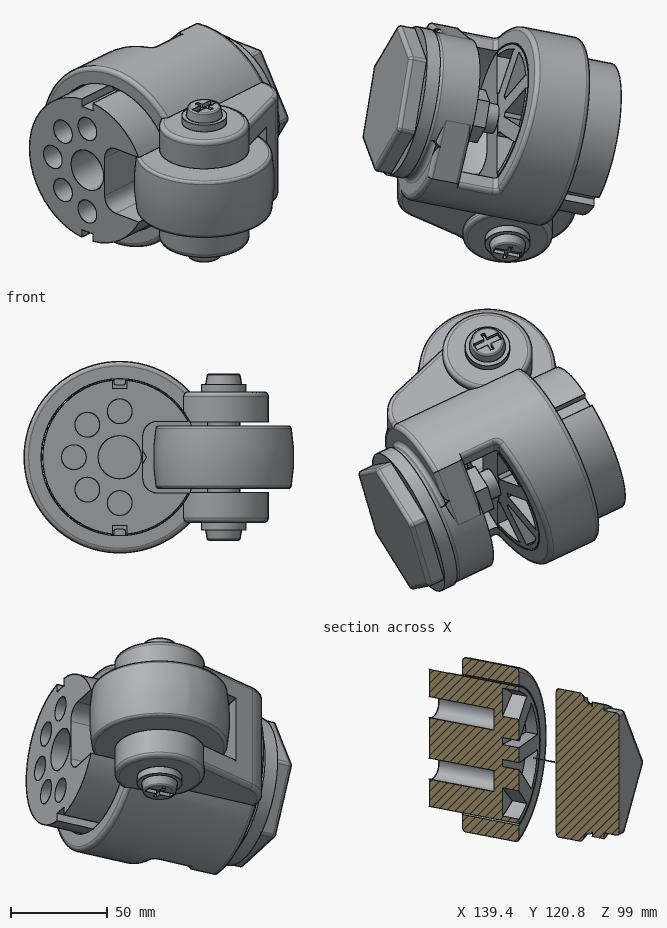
import cadquery as cq
import math


barrel_radius = 49.5
barrel_bottom = -10.5
barrel_top = 63.1
bore_radius = 40.5
bore_ceiling = 46.3
edge_round = 2.4

window_back = -3.9
window_low_outer = 19.2
window_low_inner = 25.4
window_corner_round = 2.4
lip_round = 1.5

collar_radius = 38.3
collar_top = 68.2
collar_edge_round = 2.0
collar_foot_round = 2.5
collar_foot_end = -17.3
flange_radius = 39.2
flange_top = 75.4
nut_across_flats = 66.9
nut_top = 84.6
nut_round = 2.1

axle_x = 53.7
fork_outer = 29.7
fork_gap = 36.2
fork_bay_top = 40.5
fork_arc_radius = 16.5
fork_arc_start = 41.4
fork_lean = math.radians(18.3)
boss_radius = 23.1
boss_top = 33.7

wheel_radius = 36.2
wheel_edge_radius = 34.7
wheel_width = 32.3
wheel_edge_round = 1.7
axle_radius = 8.4
washer_radius = 11.6
washer_top = 37.6
head_radius = 9.3
head_crown_radius = 8.4
head_top = 43.0
head_round = 1.0
recess_depth = 2.1
recess_long_arm = (3.9, 14.2)
recess_short_arm = (10.5, 1.8)

foot_radius = 39.9
foot_bottom = -30.4
foot_top = window_low_inner
foot_bay_left = 11.8
foot_bay_width = 37.1
foot_bay_round = 7.7
foot_centre_hole_radius = 11.2
foot_hole_radius = 6.4
foot_hole_circle = 23.7
foot_hole_depth = 39.0
keyway_width = 7.7
keyway_floor = 35.4
keyway_top = 18.1
key_width = 6.1
key_tip = 37.2
key_bottom = -7.0
key_round = 1.4
key_embed = 1.4
spoke_count = 8
spoke_width = 8.4
pocket_floor = 14.0
pocket_inner_radius = 14.0
pocket_outer_radius = 37.4

screw_radius = 7.7
screw_hex_across_flats = 24.0
screw_hex_low = 32.6
screw_hex_high = 45.3
screw_collar_radius = 9.6


def along_y(outline, low, high):
    """Extrude an outline drawn in X and Z from height low to height high."""
    return outline.extrude(low - high).translate((0, low, 0))


def section():
    return cq.Workplane("XZ")


def disc(radius, low, high):
    return along_y(section().circle(radius), low, high)


def hexagon(across_flats, low, high):
    corner_diameter = across_flats / math.cos(math.pi / 6)
    return along_y(section().polygon(6, corner_diameter), low, high)


def mirrored_in_z(shape):
    return shape.union(shape.mirror("XY"))


def make_upper_block():
    """Collar-sized wall widening along 45 degree flats to the full barrel."""
    touch = collar_radius * math.sqrt(0.5)
    half_chord = math.sqrt(barrel_radius**2 - collar_radius**2)
    wing_x = -touch + half_chord * math.sqrt(0.5)
    wing_z = touch + half_chord * math.sqrt(0.5)
    outline = (
        section()
        .moveTo(-touch, touch)
        .lineTo(wing_x, wing_z)
        .threePointArc((barrel_radius, 0), (wing_x, -wing_z))
        .lineTo(-touch, -touch)
        .threePointArc((-collar_radius, 0), (-touch, touch))
        .close()
    )
    return along_y(outline, bore_ceiling, barrel_top)


def make_fork_plates():
    arc_centre_y = barrel_top - fork_arc_radius
    arc_mid_angle = (math.pi / 2 + fork_lean) / 2

    def on_arc(angle):
        return (
            fork_arc_start + fork_arc_radius * math.cos(angle),
            arc_centre_y + fork_arc_radius * math.sin(angle),
        )

    lean_start = on_arc(fork_lean)
    lean_end = (lean_start[0] + lean_start[1] * math.tan(fork_lean), 0)
    return (
        cq.Workplane("XY", origin=(0, 0, -fork_outer))
        .moveTo(0, 0)
        .lineTo(0, barrel_top)
        .lineTo(fork_arc_start, barrel_top)
        .threePointArc(on_arc(arc_mid_angle), lean_start)
        .lineTo(*lean_end)
        .close()
        .extrude(2 * fork_outer)
    )


def make_bosses():
    return (
        cq.Workplane("XY", origin=(axle_x, 0, -boss_top))
        .circle(boss_radius)
        .extrude(2 * boss_top)
        .faces("|Z")
        .edges()
        .fillet(edge_round)
    )


def make_window():
    """Space above a sloping sill, open toward -X."""
    slope = (window_low_inner - window_low_outer) / (window_back + barrel_radius)
    far_left = -2 * barrel_radius
    far_low = window_low_outer + slope * (far_left + barrel_radius)
    return (
        cq.Workplane("XY", origin=(0, 0, -2 * barrel_radius))
        .moveTo(far_left, far_low)
        .lineTo(window_back, window_low_inner)
        .lineTo(window_back, barrel_top)
        .lineTo(far_left, barrel_top)
        .close()
        .extrude(4 * barrel_radius)
        .edges("|Z and >X")
        .edges("<Y")
        .fillet(window_corner_round)
    )


def left_edges(low, high, right):
    """Selector for edges centred between two heights and on the -X side of right."""
    reach = 2 * barrel_radius
    return cq.selectors.BoxSelector((-reach, low, -reach), (right, high, reach))


def make_barrel():
    """Lower barrel with the window cut in, and the upper wall that bridges over the window."""
    lower = disc(barrel_radius, barrel_bottom, bore_ceiling).faces("<Y").edges().fillet(edge_round)
    lower = lower.cut(make_window())
    window_rim = left_edges(barrel_bottom / 2, bore_ceiling - edge_round, 0)
    lower = lower.edges(window_rim).edges("not |Z").fillet(edge_round)
    upper = make_upper_block().faces(">Y").edges().fillet(edge_round)
    wall_lip = left_edges(bore_ceiling - lip_round, bore_ceiling + lip_round, 2 * window_back)
    return lower.union(upper).edges(wall_lip).edges("#Y").fillet(lip_round)


def make_housing():
    plates = make_fork_plates().faces("|Z").edges().fillet(edge_round)
    housing = plates.union(make_bosses()).union(make_barrel())
    bore = disc(bore_radius, barrel_bottom - boss_radius, bore_ceiling)
    bay_length = 2 * wheel_radius + axle_x
    bay = cq.Workplane("XY").box(bay_length, bay_length, fork_gap, centered=(False, False, True))
    bay = bay.translate((0, fork_bay_top - bay_length, 0))
    return housing.cut(bore).cut(bay)


def make_collar_foot():
    """Concave fillet between the barrel top and the collar, clear of the 45 degree flats."""
    inner = collar_radius - collar_foot_round
    outer = collar_radius + collar_foot_round
    base = barrel_top - collar_foot_round
    top = barrel_top + collar_foot_round
    bend = collar_foot_round * (1 - math.sqrt(0.5))
    ring = (
        cq.Workplane("XY")
        .moveTo(inner, base)
        .lineTo(inner, top)
        .lineTo(collar_radius, top)
        .threePointArc((collar_radius + bend, barrel_top + bend), (outer, barrel_top))
        .lineTo(outer, base)
        .close()
        .revolve(360, (0, 0, 0), (0, 1, 0))
    )
    reach = 4 * barrel_radius
    keep = cq.Workplane("XY").box(reach, reach, reach, centered=(False, True, True))
    return ring.intersect(keep.translate((collar_foot_end, 0, 0)))


def make_cap():
    collar = disc(collar_radius, bore_ceiling, collar_top)
    collar = collar.faces(">Y").edges().fillet(collar_edge_round)
    flange = disc(flange_radius, collar_top, flange_top)
    nut = hexagon(nut_across_flats, flange_top, nut_top)
    nut = nut.edges("|Y").fillet(nut_round).faces(">Y").edges().fillet(nut_round)
    return collar.union(make_collar_foot()).union(flange).union(nut)


def make_wheel():
    half_width = wheel_width / 2
    tread = (
        cq.Workplane("XZ")
        .moveTo(0, -half_width)
        .lineTo(wheel_edge_radius, -half_width)
        .threePointArc((wheel_radius, 0), (wheel_edge_radius, half_width))
        .lineTo(0, half_width)
        .close()
        .revolve(360, (0, 0, 0), (0, 1, 0))
        .faces("|Z")
        .edges()
        .fillet(wheel_edge_round)
    )
    return tread.translate((axle_x, 0, 0))


def make_axle():
    """Axle with a washer and a cross-recessed screw head at each end."""
    upright = cq.Workplane("XY", origin=(axle_x, 0, 0))
    axle = upright.circle(axle_radius).extrude(boss_top)
    washer = upright.workplane(offset=boss_top).circle(washer_radius).extrude(washer_top - boss_top)
    taper = math.degrees(math.atan((head_radius - head_crown_radius) / (head_top - washer_top)))
    head = upright.workplane(offset=washer_top).circle(head_radius)
    head = head.extrude(head_top - washer_top, taper=taper).faces(">Z").edges().fillet(head_round)
    recess_plane = upright.workplane(offset=head_top - recess_depth)
    for arm in (recess_long_arm, recess_short_arm):
        head = head.cut(recess_plane.rect(*arm).extrude(recess_depth))
    return mirrored_in_z(axle.union(washer).union(head))


def make_dial_pockets():
    """Sector pockets between spokes on the window side of the foot's upper face."""
    pitch = 360 / spoke_count
    ring = disc(pocket_outer_radius, pocket_floor, foot_top)
    ring = ring.cut(disc(pocket_inner_radius, pocket_floor, foot_top))
    reach = 4 * barrel_radius
    window_side = cq.Workplane("XY").box(reach, reach, reach).translate((-reach / 2, 0, 0))
    ring = ring.intersect(window_side)
    spoke = along_y(section().rect(2 * barrel_radius, spoke_width), pocket_floor, foot_top)
    for index in range(spoke_count // 2):
        ring = ring.cut(spoke.rotate((0, 0, 0), (0, 1, 0), index * pitch))
    return ring


def make_foot():
    foot = disc(foot_radius, foot_bottom, foot_top)
    bay_end = 2 * foot_radius
    bay = section().center((foot_bay_left + bay_end) / 2, 0).rect(bay_end - foot_bay_left, foot_bay_width)
    bay = along_y(bay, foot_bottom, foot_top).edges("|Y and <X").fillet(foot_bay_round)
    hole_end = foot_bottom + foot_hole_depth
    holes = disc(foot_centre_hole_radius, foot_bottom, hole_end)
    for angle in range(90, 271, 45):
        x = foot_hole_circle * math.cos(math.radians(angle))
        z = foot_hole_circle * math.sin(math.radians(angle))
        holes = holes.union(disc(foot_hole_radius, foot_bottom, hole_end).translate((x, 0, z)))
    keyway = section().center(0, (keyway_floor + barrel_radius) / 2)
    keyway = keyway.rect(keyway_width, barrel_radius - keyway_floor)
    keyway = along_y(keyway, foot_bottom, keyway_top)
    foot = foot.cut(bay).cut(holes).cut(mirrored_in_z(keyway))
    return foot.cut(make_dial_pockets()).cut(make_window())


def make_keys():
    """Keys on the bore wall that slide in the keyways of the foot."""
    root = bore_radius + key_embed
    key = section().center(0, (key_tip + root) / 2).rect(key_width, root - key_tip)
    key = along_y(key, key_bottom, keyway_top - key_embed).edges("|Y and <Z").fillet(key_round)
    return mirrored_in_z(key)


def make_screw():
    shaft = disc(screw_radius, foot_top, bore_ceiling)
    grip = hexagon(screw_hex_across_flats, screw_hex_low, screw_hex_high)
    collar = disc(screw_collar_radius, screw_hex_high, bore_ceiling)
    return shaft.union(grip).union(collar)


result = (
    make_housing()
    .union(make_cap())
    .union(make_wheel())
    .union(make_axle())
    .union(make_foot())
    .union(make_screw())
    .union(make_keys())
)